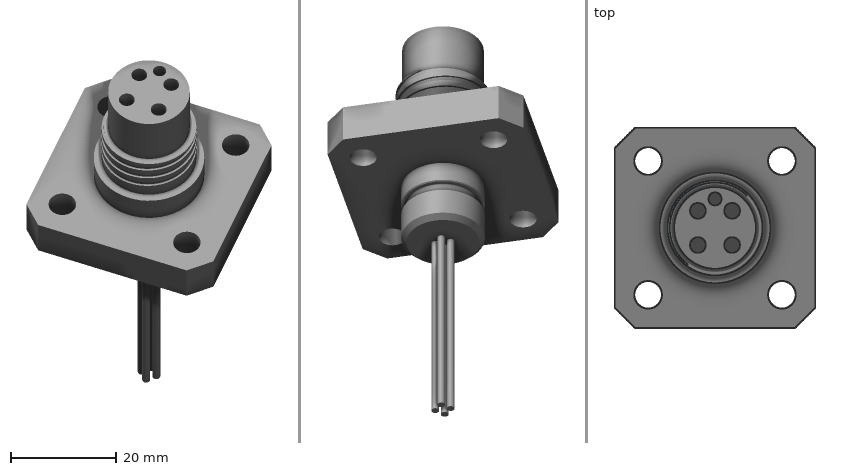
import cadquery as cq
import math

TOTAL_HEIGHT = 85.7
EPSILON = 0.5

FLANGE_SIDE = 38.1
FLANGE_THICKNESS = 7.7
FLANGE_CHAMFER = 3.9
MOUNT_PITCH = 25.4
MOUNT_HOLE_DIAMETER = 5.2

BOSS_DIAMETER = 21.0
BOSS_HEIGHT = 5.2
SLEEVE_DIAMETER = 18.0
SLEEVE_HEIGHT = 9.3
INSERT_DIAMETER = 15.5
BOSS_TOP = FLANGE_THICKNESS + BOSS_HEIGHT
SLEEVE_TOP = BOSS_TOP + SLEEVE_HEIGHT

REAR_DIAMETER = 15.9
REAR_LENGTH = 12.9
REAR_CHAMFER = 1.0
SEAL_GROOVE_DIAMETER = 13.9
SEAL_GROOVE_WIDTH = 2.0
SEAL_GROOVE_TOP = -4.25
SEAL_GROOVE_EDGE = 0.2

WIRE_DIAMETER = 1.5
WIRE_CIRCLE_RADIUS = 1.5
WIRE_LENGTH = 40.0
WIRE_COUNT = 4

INSERT_TOP = TOTAL_HEIGHT - WIRE_LENGTH - REAR_LENGTH

SOCKET_DIAMETER = 3.0
SOCKET_PITCH = 6.5
CONTACT_HOLE_DEPTH = 10.0
KEY_DIAMETER = 2.5
KEY_OFFSET = 5.5

THREAD_PITCH = 2.34
THREAD_WIDTH = 1.03
THREAD_DEPTH = 0.4
THREAD_START = 15.35
THREAD_TURNS = 3.25
THREAD_FLOOR_RADIUS = SLEEVE_DIAMETER / 2 - THREAD_DEPTH


def cylinder(diameter, bottom, height):
    """Upright cylinder on the Z axis."""
    return cq.Workplane("XY").workplane(offset=bottom).circle(diameter / 2).extrude(height)


def make_flange():
    """Square plate with chamfered corners and four through holes."""
    plate = (
        cq.Workplane("XY")
        .rect(FLANGE_SIDE, FLANGE_SIDE)
        .extrude(FLANGE_THICKNESS)
        .edges("|Z")
        .chamfer(FLANGE_CHAMFER)
    )
    return (
        plate.faces(">Z")
        .workplane()
        .rect(MOUNT_PITCH, MOUNT_PITCH, forConstruction=True)
        .vertices()
        .hole(MOUNT_HOLE_DIAMETER)
    )


def make_thread_cutter():
    """Rectangular profile swept along the helix, plus a straight tangent lead-in."""
    outer_radius = THREAD_FLOOR_RADIUS + THREAD_DEPTH + EPSILON
    half_width = THREAD_WIDTH / 2
    helix = cq.Wire.makeHelix(THREAD_PITCH, THREAD_PITCH * THREAD_TURNS, THREAD_FLOOR_RADIUS)
    profile = [
        (THREAD_FLOOR_RADIUS, -half_width),
        (outer_radius, -half_width),
        (outer_radius, half_width),
        (THREAD_FLOOR_RADIUS, half_width),
    ]
    groove = cq.Workplane("XZ").polyline(profile).close().sweep(cq.Workplane(obj=helix), isFrenet=True)

    lead_length = math.sqrt((SLEEVE_DIAMETER / 2) ** 2 - THREAD_FLOOR_RADIUS ** 2)
    lead_drop = lead_length * THREAD_PITCH / (2 * math.pi * THREAD_FLOOR_RADIUS)
    lead_in = (
        cq.Workplane("YZ", origin=(THREAD_FLOOR_RADIUS, 0, 0))
        .polyline(
            [
                (0, -half_width),
                (0, half_width),
                (-lead_length, half_width - lead_drop),
                (-lead_length, -half_width - lead_drop),
            ]
        )
        .close()
        .extrude(THREAD_DEPTH + EPSILON)
    )
    return [
        tool.rotate((0, 0, 0), (0, 0, 1), 180).translate((0, 0, THREAD_START))
        for tool in (groove, lead_in)
    ]


def make_front_barrel():
    """Boss, threaded sleeve and contact insert."""
    boss = cylinder(BOSS_DIAMETER, 0, BOSS_TOP)
    sleeve = cylinder(SLEEVE_DIAMETER, 0, SLEEVE_TOP + THREAD_PITCH)
    for tool in make_thread_cutter():
        sleeve = sleeve.cut(tool)
    sleeve = sleeve.intersect(cylinder(BOSS_DIAMETER, 0, SLEEVE_TOP))
    insert = cylinder(INSERT_DIAMETER, 0, INSERT_TOP)
    return boss.union(sleeve).union(insert)


def make_rear_barrel():
    """Cylinder below the flange with a sealing groove and a chamfered end."""
    barrel = cylinder(REAR_DIAMETER, -REAR_LENGTH, REAR_LENGTH + EPSILON)
    barrel = barrel.faces("<Z").chamfer(REAR_CHAMFER)
    lip_radius = REAR_DIAMETER / 2
    floor_radius = SEAL_GROOVE_DIAMETER / 2
    groove_bottom = SEAL_GROOVE_TOP - SEAL_GROOVE_WIDTH
    ring = (
        cq.Workplane("XY")
        .workplane(offset=groove_bottom)
        .circle(lip_radius)
        .circle(floor_radius)
        .extrude(SEAL_GROOVE_WIDTH)
        .edges(cq.selectors.RadiusNthSelector(0))
        .fillet(SEAL_GROOVE_EDGE)
    )
    lip = (
        cq.Workplane("XZ")
        .polyline(
            [
                (lip_radius - SEAL_GROOVE_EDGE, groove_bottom),
                (lip_radius, groove_bottom - SEAL_GROOVE_EDGE),
                (lip_radius, SEAL_GROOVE_TOP + SEAL_GROOVE_EDGE),
                (lip_radius - SEAL_GROOVE_EDGE, SEAL_GROOVE_TOP),
            ]
        )
        .close()
        .revolve(360, (0, 0, 0), (0, 1, 0))
    )
    return barrel.cut(ring).cut(lip)


def make_wires():
    """Straight wires hanging from the rear barrel, evenly spaced round the axis."""
    return (
        cq.Workplane("XY")
        .workplane(offset=-REAR_LENGTH - WIRE_LENGTH)
        .polarArray(WIRE_CIRCLE_RADIUS, 0, 360, WIRE_COUNT)
        .circle(WIRE_DIAMETER / 2)
        .extrude(WIRE_LENGTH + EPSILON)
    )


def make_contact_holes():
    """Four sockets in a square and a smaller coding hole towards +Y."""
    face = cq.Workplane("XY").workplane(offset=INSERT_TOP)
    sockets = (
        face.rect(SOCKET_PITCH, SOCKET_PITCH, forConstruction=True)
        .vertices()
        .circle(SOCKET_DIAMETER / 2)
        .extrude(-CONTACT_HOLE_DEPTH)
    )
    key = face.center(0, KEY_OFFSET).circle(KEY_DIAMETER / 2).extrude(-CONTACT_HOLE_DEPTH)
    return sockets.union(key)


result = (
    make_flange()
    .union(make_front_barrel())
    .union(make_rear_barrel())
    .union(make_wires())
    .cut(make_contact_holes())
)